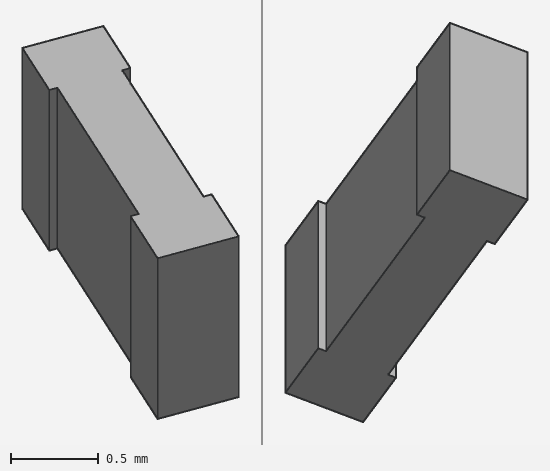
import cadquery as cq

length = 2.0
thickness = 0.5
height = 1.2

terminal_length = 0.4
terminal_step = 0.05

body_length = length - 2 * terminal_length
body_thickness = thickness - 2 * terminal_step


def terminal(side):
    """Full-thickness block at one end; side is -1 or +1 along X."""
    center_x = side * (length - terminal_length) / 2
    return cq.Workplane("XY").box(terminal_length, thickness, height).translate((center_x, 0, 0))


result = cq.Workplane("XY").box(body_length, body_thickness, height)
for side in (-1, 1):
    result = result.union(terminal(side))

result = result.clean()